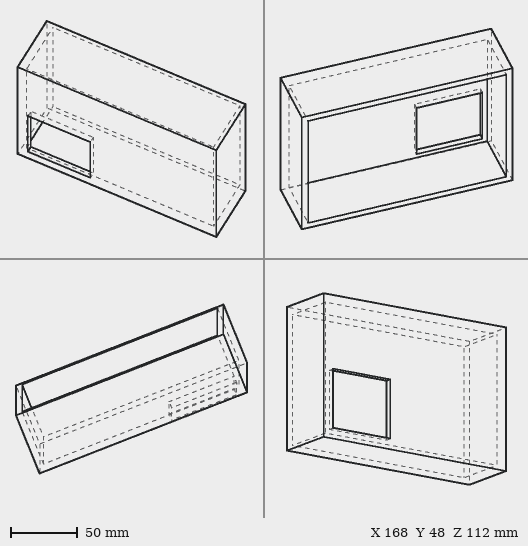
import cadquery as cq

LENGTH = 168.0
DEPTH = 48.0
HEIGHT = 112.0

WALL = 5.0

WINDOW_WIDTH = 52.5
WINDOW_HEIGHT = 46.0
WINDOW_LEFT_MARGIN = 8.8
WINDOW_BOTTOM_MARGIN = 8.5


def corner_box(length, depth, height, corner):
    """Box whose lowest X, Y and Z corner sits at the given point."""
    return cq.Workplane("XY").box(length, depth, height, centered=False).translate(corner)


def make_shell():
    """Box hollowed from the back, leaving the front and four side walls."""
    body = corner_box(LENGTH, DEPTH, HEIGHT, (0, 0, 0))
    cavity = corner_box(LENGTH - 2 * WALL, DEPTH - WALL, HEIGHT - 2 * WALL, (WALL, WALL, WALL))
    return body.cut(cavity)


def make_window():
    """Cutter for the window, reaching through the front wall only."""
    corner = (WINDOW_LEFT_MARGIN, 0, WINDOW_BOTTOM_MARGIN)
    return corner_box(WINDOW_WIDTH, WALL, WINDOW_HEIGHT, corner)


result = make_shell().cut(make_window())